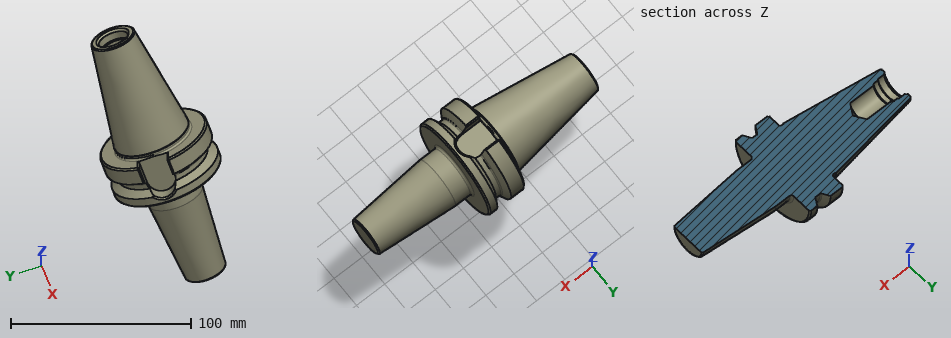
import cadquery as cq
import math

total_length = 155.4

taper_slope = 7 / 48
taper_length = 64.3
taper_large_radius = 22.0
taper_small_radius = taper_large_radius - taper_length * taper_slope
taper_end_chamfer = 0.6
relief_radius = 21.8
relief_start = taper_length + 0.5

flange_start = 67.1
flange_end = 92.5
flange_radius = 31.47
flange_chamfer = 1.0
root_fillet = 1.1
groove_start = 77.1
groove_wall_angle = math.radians(30)
groove_end = 86.7
groove_floor_radius = 26.4
groove_run = (flange_radius - groove_floor_radius) * math.tan(groove_wall_angle)
groove_fillet = 1.0

nose_fillet = 1.5
nose_radius = 16.2
nose_taper_start = 104.5
nose_end_radius = 12.05
nose_end_chamfer = 0.8

slot_width = 16.5
slot_end = 89.0
slot_floor = 22.2
slot_chamfer = 1.0

mouth_radius = 9.6
mouth_depth = 1.4
clearance_radius = 8.5
clearance_depth = 5.7
middle_radius = 8.0
middle_depth = 9.6
drill_radius = 7.0
drill_depth = 28.0
drill_point_angle = 118
drill_tip = drill_depth + drill_radius / math.tan(math.radians(drill_point_angle / 2))


def revolve_about_x(profile):
    return profile.close().revolve(360, (0, 0, 0), (1, 0, 0))


def make_body():
    root = flange_start - root_fillet
    nose_root = flange_end + nose_fillet
    fillet_mid = 1 - math.sqrt(0.5)
    groove_bend = math.pi / 2 - groove_wall_angle
    groove_corner = groove_start + groove_run
    tangent = groove_fillet * math.tan(groove_bend / 2)
    wall_x = groove_corner - tangent * math.sin(groove_wall_angle)
    wall_radius = groove_floor_radius + tangent * math.cos(groove_wall_angle)
    fillet_center = (groove_corner + tangent, groove_floor_radius + groove_fillet)
    groove_mid = (
        fillet_center[0] - groove_fillet * math.sin(groove_bend / 2),
        fillet_center[1] - groove_fillet * math.cos(groove_bend / 2),
    )
    profile = (
        cq.Workplane("XY")
        .lineTo(0, taper_small_radius - taper_end_chamfer)
        .lineTo(taper_end_chamfer, taper_small_radius + taper_end_chamfer * taper_slope)
        .lineTo(taper_length, taper_large_radius)
        .lineTo(relief_start, relief_radius)
        .lineTo(root, relief_radius)
        .threePointArc(
            (flange_start - root_fillet * fillet_mid, relief_radius + root_fillet * fillet_mid),
            (flange_start, relief_radius + root_fillet),
        )
        .lineTo(flange_start, flange_radius - flange_chamfer)
        .lineTo(flange_start + flange_chamfer, flange_radius)
        .lineTo(groove_start, flange_radius)
        .lineTo(wall_x, wall_radius)
        .threePointArc(groove_mid, (groove_corner + tangent, groove_floor_radius))
        .lineTo(groove_end - groove_run, groove_floor_radius)
        .lineTo(groove_end, flange_radius)
        .lineTo(flange_end - flange_chamfer, flange_radius)
        .lineTo(flange_end, flange_radius - flange_chamfer)
        .lineTo(flange_end, nose_radius + nose_fillet)
        .threePointArc(
            (flange_end + nose_fillet * fillet_mid, nose_radius + nose_fillet * fillet_mid),
            (nose_root, nose_radius),
        )
        .lineTo(nose_taper_start, nose_radius)
        .lineTo(total_length - nose_end_chamfer, nose_end_radius)
        .lineTo(total_length, nose_end_radius - nose_end_chamfer)
        .lineTo(total_length, 0)
    )
    return revolve_about_x(profile)


def make_bore():
    profile = (
        cq.Workplane("XY")
        .lineTo(0, mouth_radius)
        .lineTo(mouth_depth, clearance_radius)
        .lineTo(clearance_depth, clearance_radius)
        .lineTo(clearance_depth + clearance_radius - middle_radius, middle_radius)
        .lineTo(middle_depth, middle_radius)
        .lineTo(middle_depth + middle_radius - drill_radius, drill_radius)
        .lineTo(drill_depth, drill_radius)
        .lineTo(drill_tip, 0)
    )
    return revolve_about_x(profile)


def make_slot():
    """Return the cutter for the round-ended +Z drive slot, open toward the taper."""
    half = slot_width / 2
    return (
        cq.Workplane("XY", origin=(0, 0, slot_floor))
        .moveTo(relief_start, -half)
        .lineTo(slot_end - half, -half)
        .threePointArc((slot_end, 0), (slot_end - half, half))
        .lineTo(relief_start, half)
        .close()
        .extrude(flange_radius)
    )


slot = make_slot()
body = make_body().cut(slot).cut(slot.rotate((0, 0, 0), (1, 0, 0), 180))


def is_slot_rim(edge):
    """True for the slot's front entry edges and for its edges along the outer flange surface."""
    tolerance = 0.02
    center = edge.Center()
    box = edge.BoundingBox()
    within_slot = max(abs(box.ymin), abs(box.ymax)) < slot_width / 2 + tolerance
    within_slot = within_slot and box.xmax < slot_end + tolerance
    on_flange = box.xmin > flange_start - tolerance
    wall_top = math.hypot(slot_width / 2, abs(center.z)) > flange_radius - 2 * flange_chamfer
    at_entry = abs(center.x - flange_start) < tolerance and abs(center.z) > slot_floor + tolerance
    return within_slot and on_flange and (wall_top or at_entry)


slot_edges = [edge for edge in body.edges().vals() if is_slot_rim(edge)]
result = body.newObject(slot_edges).chamfer(slot_chamfer).cut(make_bore())